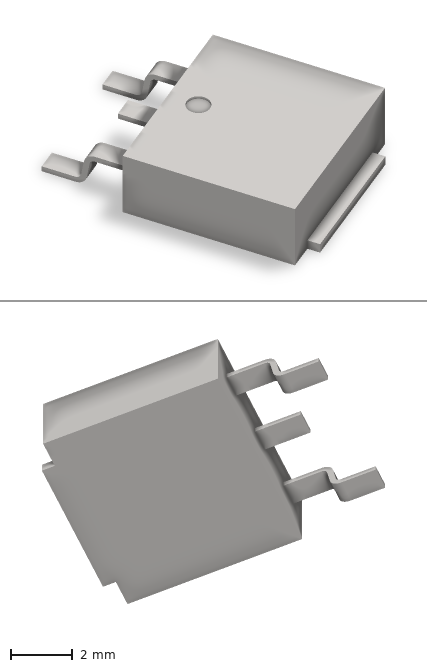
import cadquery as cq
import math

total_length = 9.9
body_width = 6.75
body_height = 2.39

body_start_x = 3.26
body_end_x = 9.44
body_length = body_end_x - body_start_x

marker_diameter = 0.84
marker_x = 4.36
marker_depth = 0.1

lead_width = 0.76
lead_thickness = 0.21
lead_top_z = 1.31
lead_pitch = 2.28
middle_lead_tip_x = 1.64
foot_length = 1.22
bend_inner_radius = 0.2
bend_angle = math.radians(80)

tab_width = 4.89
tab_thickness = 0.36


def make_housing():
    """Plain block with a shallow round recess marking the lead side."""
    block = cq.Workplane("XY").box(body_length, body_width, body_height, centered=(False, True, False))
    marker = (
        cq.Workplane("XY", origin=(marker_x, 0, body_height - marker_depth))
        .circle(marker_diameter / 2)
        .extrude(marker_depth)
    )
    return block.translate((body_start_x, 0, 0)).cut(marker)


def make_bent_lead(center_y):
    """Gull-wing strip: foot, lower bend, steep leg, upper bend and straight shank."""
    foot_z = lead_thickness / 2
    shank_z = lead_top_z - lead_thickness / 2
    radius = bend_inner_radius + lead_thickness / 2

    def bend_offset(angle):
        """Horizontal and vertical travel along a bend that starts out level."""
        return radius * math.sin(angle), radius * (1 - math.cos(angle))

    half_run, half_rise = bend_offset(bend_angle / 2)
    bend_run, bend_rise = bend_offset(bend_angle)
    leg_rise = shank_z - foot_z - 2 * bend_rise
    leg_run = leg_rise / math.tan(bend_angle)
    shank_start_x = foot_length + 2 * bend_run + leg_run

    centerline = (
        cq.Workplane("XZ", origin=(0, center_y, 0))
        .moveTo(0, foot_z)
        .lineTo(foot_length, foot_z)
        .threePointArc(
            (foot_length + half_run, foot_z + half_rise),
            (foot_length + bend_run, foot_z + bend_rise),
        )
        .line(leg_run, leg_rise)
        .threePointArc(
            (shank_start_x - half_run, shank_z - half_rise),
            (shank_start_x, shank_z),
        )
        .lineTo(body_start_x, shank_z)
    )
    return (
        cq.Workplane("YZ", origin=(0, center_y, foot_z))
        .rect(lead_width, lead_thickness)
        .sweep(centerline)
    )


def make_middle_lead():
    """Short straight lead, level with the shanks of the bent leads."""
    length = body_start_x - middle_lead_tip_x
    return (
        cq.Workplane("XY")
        .box(length, lead_width, lead_thickness, centered=(False, True, False))
        .translate((middle_lead_tip_x, 0, lead_top_z - lead_thickness))
    )


def make_heat_tab():
    """Flat tab against the end of the housing opposite the leads."""
    length = total_length - body_end_x
    return (
        cq.Workplane("XY")
        .box(length, tab_width, tab_thickness, centered=(False, True, False))
        .translate((body_end_x, 0, 0))
    )


housing = make_housing()
bent_leads = [make_bent_lead(side * lead_pitch) for side in (-1, 1)]
middle_lead = make_middle_lead()
heat_tab = make_heat_tab()

result = cq.Compound.makeCompound(
    [housing.val(), *[lead.val() for lead in bent_leads], middle_lead.val(), heat_tab.val()]
)